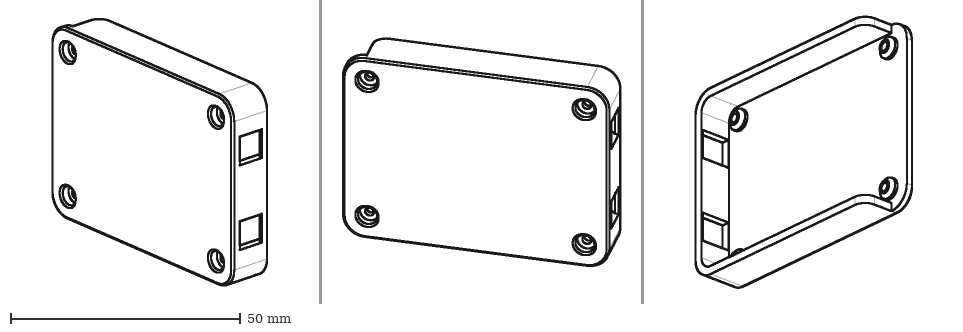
import cadquery as cq

length = 60.0
depth = 10.0
height = 45.0
corner_radius = 5.0
wall = 2.0
plate_thickness = 2.0
edge_chamfer = 0.5

wall_start = corner_radius
wall_end_radius = 3.0

screw_inset = 5.5
screw_diameter = 2.0
head_diameter = 4.3
head_depth = 2.15
head_chamfer = 0.5
boss_diameter = 5.0
boss_height = 1.6
boss_chamfer = 0.95

window_width = 6.7
window_spacing = 20.0
window_rise = 0.1
window_bottom = 2.1
window_top = 8.6
window_lead_in = 1.15


def rounded_block(size_x, size_y, size_z, radius):
    """Block standing on Y = 0, centred in X and Z, rounded along Y."""
    block = cq.Workplane("XY").box(size_x, size_y, size_z, centered=(True, False, True))
    return block.edges("|Y").fillet(radius)


def cylinder(diameter, start_y, size_y):
    """Cylinder rising along +Y from start_y."""
    return cq.Workplane("XZ", origin=(0, start_y, 0)).circle(diameter / 2).extrude(-size_y)


def make_tray():
    tray = rounded_block(length, depth, height, corner_radius).faces("<Y").chamfer(edge_chamfer)
    cavity = rounded_block(length - 2 * wall, depth, height - 2 * wall, corner_radius - wall)
    tray = tray.cut(cavity.translate((0, plate_thickness, 0)))
    keep = (
        cq.Workplane("XY")
        .box(length, depth, height, centered=(False, False, True))
        .edges("<X and >Y")
        .fillet(wall_end_radius)
        .translate((wall_start - length / 2, 0, 0))
    )
    plate_zone = cq.Workplane("XY").box(length, plate_thickness, height, centered=(True, False, True))
    return tray.intersect(keep.union(plate_zone))


def make_boss():
    boss = cylinder(boss_diameter, plate_thickness, boss_height)
    return boss.faces(">Y").chamfer(boss_chamfer)


def make_screw_hole():
    """Through hole with a flat-bottomed head recess and a chamfered mouth."""
    head_radius = head_diameter / 2
    profile = (
        cq.Workplane("XY")
        .moveTo(0, 0)
        .lineTo(head_radius + head_chamfer, 0)
        .lineTo(head_radius, head_chamfer)
        .lineTo(head_radius, head_depth)
        .lineTo(screw_diameter / 2, head_depth)
        .lineTo(screw_diameter / 2, depth)
        .lineTo(0, depth)
        .close()
    )
    return profile.revolve(360, (0, 0, 0), (0, 1, 0))


def make_window():
    inner_x = length / 2 - wall
    outer_x = length / 2
    return (
        cq.Workplane("XY")
        .moveTo(inner_x, window_bottom)
        .lineTo(outer_x, window_bottom)
        .lineTo(outer_x, window_top)
        .lineTo(inner_x + window_lead_in, window_top)
        .lineTo(inner_x, window_top + window_lead_in)
        .close()
        .extrude(window_width / 2, both=True)
    )


result = make_tray()

for side_x in (-1, 1):
    for side_z in (-1, 1):
        screw_place = (
            side_x * (length / 2 - screw_inset),
            0,
            side_z * (height / 2 - screw_inset),
        )
        result = result.union(make_boss().translate(screw_place))
        result = result.cut(make_screw_hole().translate(screw_place))

for side_z in (-1, 1):
    result = result.cut(make_window().translate((0, 0, window_rise + side_z * window_spacing / 2)))